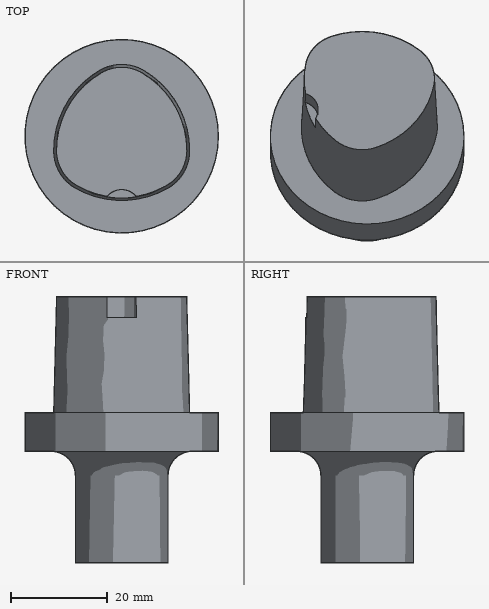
import cadquery as cq
import math

total_height = 55.0
taper_height = 24.0
flange_thickness = 8.0
flange_top = total_height - taper_height
flange_bottom = flange_top - flange_thickness

flange_diameter = 40.0
shank_diameter = 19.2
neck_fillet = 5.0

lobe_offset = 5.95
lobe_radius_base = 8.9
lobe_radius_top = 8.3
lobe_angles = (90, 210, 330)
lobe_half_span = 30

notch_radius = 3.85
notch_inner_y = -11.0
notch_depth = 4.35


def polar(radius, angle):
    """Point at a radius and an angle in degrees about the axis."""
    return (
        radius * math.cos(math.radians(angle)),
        radius * math.sin(math.radians(angle)),
    )


def lobe_point(lobe_angle, normal_angle, lobe_radius):
    """Point on a lobe where its outward normal has the given angle."""
    center_x, center_y = polar(lobe_offset, lobe_angle)
    step_x, step_y = polar(lobe_radius, normal_angle)
    return (center_x + step_x, center_y + step_y)


def lobed_wire(sketch, lobe_radius):
    """Three lobe arcs joined tangentially by three flank arcs."""
    flank_radius = lobe_radius + lobe_offset * math.sqrt(3)
    flank_mid_distance = flank_radius - lobe_offset
    sketch = sketch.moveTo(*lobe_point(lobe_angles[0], lobe_angles[0] - lobe_half_span, lobe_radius))
    for angle in lobe_angles:
        next_angle = angle + 120
        lobe_end = lobe_point(angle, angle + lobe_half_span, lobe_radius)
        flank_end = lobe_point(next_angle, next_angle - lobe_half_span, lobe_radius)
        sketch = sketch.threePointArc(lobe_point(angle, angle, lobe_radius), lobe_end)
        sketch = sketch.threePointArc(polar(flank_mid_distance, angle + 60), flank_end)
    return sketch.close()


def make_plug():
    base = lobed_wire(cq.Workplane("XY").workplane(offset=flange_top), lobe_radius_base)
    both = lobed_wire(base.workplane(offset=taper_height), lobe_radius_top)
    return both.loft(ruled=True, combine=True)


def make_flange_and_shank():
    """Revolved flange and shank with a concave fillet between them."""
    flange_radius = flange_diameter / 2
    shank_radius = shank_diameter / 2
    fillet_inset = neck_fillet * (1 - math.sqrt(0.5))
    return (
        cq.Workplane("XZ")
        .lineTo(shank_radius, 0)
        .lineTo(shank_radius, flange_bottom - neck_fillet)
        .threePointArc(
            (shank_radius + fillet_inset, flange_bottom - fillet_inset),
            (shank_radius + neck_fillet, flange_bottom),
        )
        .lineTo(flange_radius, flange_bottom)
        .lineTo(flange_radius, flange_top)
        .lineTo(0, flange_top)
        .close()
        .revolve(360, (0, 0, 0), (0, 1, 0))
    )


def make_notch():
    return (
        cq.Workplane("XY")
        .workplane(offset=total_height - notch_depth)
        .center(0, notch_inner_y - notch_radius)
        .circle(notch_radius)
        .extrude(notch_depth)
    )


result = make_flange_and_shank().union(make_plug()).cut(make_notch())